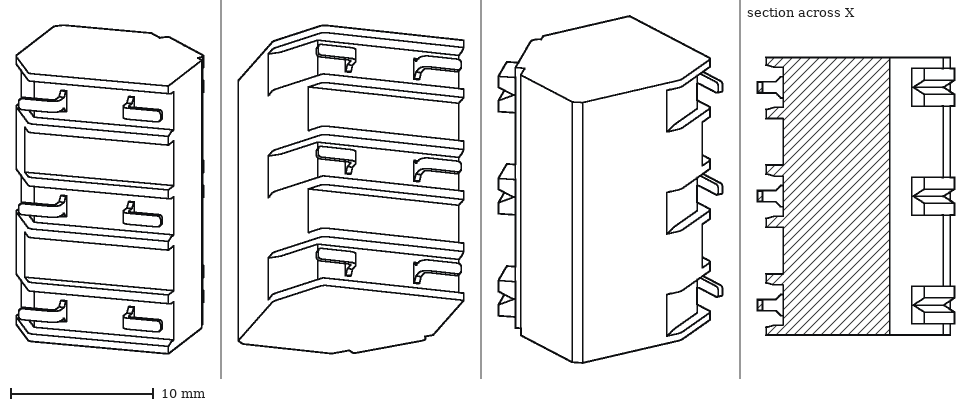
import cadquery as cq
import math

BODY_WIDTH = 12.7
BODY_DEPTH = 12.92
BODY_HEIGHT = 19.44
POLES = 3
PITCH = 7.62
END_TO_POLE = (BODY_HEIGHT - (POLES - 1) * PITCH) / 2
OVERLAP = 0.5

SLANT_ANGLE = math.radians(60)
SLANT_TOP_Y = 4.12
SLANT_END_X = SLANT_TOP_Y / math.tan(SLANT_ANGLE)
SLANT_TOP_RADIUS = 1.0
SLANT_END_RADIUS = 0.5

BACK_CHAMFER = 0.52
ENTRY_SUM = 20.88
NOTCH_X = 8.0
NOTCH_Y = 11.94
NOTCH_RISE = (ENTRY_SUM - NOTCH_X - NOTCH_Y) / 2
BACK_END_X = NOTCH_X - (BODY_DEPTH - NOTCH_Y)
LIP_START_X = 12.28
LIP_CREST = (12.42, 8.22)
LIP_END = (12.22, 7.75)
SIDE_TOP_Y = LIP_END[1] - (BODY_WIDTH - LIP_END[0])

LEAD_POCKET_HEIGHT = 2.78
FLARE_HEIGHT = 0.16
FLARE_DEPTH = 0.59
FRONT_FLOOR_Y = 1.2
SLANT_FLOOR_DEPTH = 0.59

GAP_POCKET_HEIGHT = 3.25

BUTTON_START_X = 8.54
BUTTON_LENGTH = 3.0
BUTTON_RISE = 1.24
BUTTON_HEIGHT = 2.64
GROOVE_WIDTH = 1.0
GROOVE_DEPTH = 1.1

LEAD_THICKNESS = 0.38
LEAD_HEIGHT = 0.8
LEAD_ROOT_HEIGHT = 1.5
LEAD_ROOT_Y = 1.05
LEAD_FOOT_Y = -0.6
LEAD_BEND_RADIUS = 0.57
LEAD_TIP_RADIUS = 0.25
LEAD_LEG_OFFSET = 2.32
LEAD_TIP_OFFSET = 5.25
LEAD_MIDDLE_X = 7.08


def pole_heights():
    """Z of the middle of every pole."""
    return [END_TO_POLE + i * PITCH for i in range(POLES)]


def round_slant_corners(solid):
    """Round the two Z edges at the ends of the slanted corner."""
    corners = (
        (0, SLANT_TOP_Y, SLANT_TOP_RADIUS),
        (SLANT_END_X, 0, SLANT_END_RADIUS),
    )
    reach = 0.2
    for x, y, radius in corners:
        low = (x - reach, y - reach, -BODY_HEIGHT)
        high = (x + reach, y + reach, 2 * BODY_HEIGHT)
        solid = solid.edges(cq.selectors.BoxSelector(low, high)).edges("|Z").fillet(radius)
    return solid


def make_block():
    """Extruded housing without pockets."""
    block = (
        cq.Workplane("XY")
        .moveTo(0, SLANT_TOP_Y)
        .lineTo(0, BODY_DEPTH - BACK_CHAMFER)
        .lineTo(BACK_CHAMFER, BODY_DEPTH)
        .lineTo(BACK_END_X, BODY_DEPTH)
        .lineTo(NOTCH_X, NOTCH_Y)
        .lineTo(NOTCH_X + NOTCH_RISE, NOTCH_Y + NOTCH_RISE)
        .lineTo(LIP_START_X, ENTRY_SUM - LIP_START_X)
        .threePointArc(LIP_CREST, LIP_END)
        .lineTo(BODY_WIDTH, SIDE_TOP_Y)
        .lineTo(BODY_WIDTH, 0)
        .lineTo(SLANT_END_X, 0)
        .close()
        .extrude(BODY_HEIGHT)
    )
    return round_slant_corners(block)


def pocket_outline(front_y, slant_depth):
    """Outline of the space outside the front and slanted faces once both are moved inwards."""
    side_y = SLANT_TOP_Y + slant_depth / math.cos(SLANT_ANGLE)
    slope = math.tan(SLANT_ANGLE)
    far_x = BODY_WIDTH + 2 * OVERLAP
    return [
        (-OVERLAP, side_y + OVERLAP * slope),
        ((side_y - front_y) / slope, front_y),
        (far_x, front_y),
        (far_x, -OVERLAP),
        (-OVERLAP, -OVERLAP),
    ]


def make_flare_land():
    """Sloped land on one side of a lead pocket, rising inwards from Z = 0."""
    taper = math.degrees(math.atan2(FLARE_DEPTH, FLARE_HEIGHT))
    far_x = BODY_WIDTH + 3 * OVERLAP
    tangent = SLANT_TOP_RADIUS * math.tan((math.pi / 2 - SLANT_ANGLE) / 2)
    arc_end = (tangent * math.cos(SLANT_ANGLE), SLANT_TOP_Y - tangent * math.sin(SLANT_ANGLE))
    return (
        cq.Workplane("XY")
        .moveTo(0, BODY_DEPTH)
        .lineTo(0, SLANT_TOP_Y + tangent)
        .radiusArc(arc_end, -SLANT_TOP_RADIUS)
        .lineTo(SLANT_END_X, 0)
        .lineTo(far_x, 0)
        .lineTo(far_x, BODY_DEPTH)
        .close()
        .extrude(FLARE_HEIGHT, taper=taper)
    )


def make_lead_pocket():
    """Cutter for a lead pocket, centred on Z = 0."""
    height = LEAD_POCKET_HEIGHT + 2 * FLARE_HEIGHT
    pocket = (
        cq.Workplane("XY")
        .workplane(offset=-height / 2)
        .polyline(pocket_outline(FRONT_FLOOR_Y, SLANT_FLOOR_DEPTH))
        .close()
        .extrude(height)
    )
    land = make_flare_land().translate((0, 0, -height / 2))
    return pocket.cut(land).cut(land.mirror("XY"))


def make_gap_pocket():
    """Cutter for a plain pocket between two poles, centred on Z = 0."""
    return cq.Workplane("XY").box(
        BODY_WIDTH + 2 * OVERLAP,
        FRONT_FLOOR_Y + OVERLAP,
        GAP_POCKET_HEIGHT,
        centered=(False, False, True),
    ).translate((-OVERLAP, -OVERLAP, 0))


def make_button():
    """Push button with a V groove along the entry face, centred on Z = 0."""
    entry = cq.Plane(
        origin=(BUTTON_START_X, ENTRY_SUM - BUTTON_START_X, 0),
        xDir=(1, 1, 0),
        normal=(1, -1, 0),
    )
    bar_length = BUTTON_RISE + OVERLAP
    bar = (
        cq.Workplane(entry)
        .center(BUTTON_RISE - bar_length / 2, 0)
        .rect(bar_length, BUTTON_HEIGHT)
        .extrude(BUTTON_LENGTH)
    )
    groove = (
        cq.Workplane(entry)
        .polyline([
            (BUTTON_RISE, GROOVE_WIDTH / 2),
            (BUTTON_RISE - GROOVE_DEPTH, 0),
            (BUTTON_RISE, -GROOVE_WIDTH / 2),
        ])
        .close()
        .extrude(BUTTON_LENGTH)
    )
    return bar.cut(groove)


def make_lead():
    """Right-hand lead with the pair's middle on X = 0, centred on Z = 0."""
    inner_x = LEAD_LEG_OFFSET
    outer_x = LEAD_LEG_OFFSET + LEAD_THICKNESS
    top_y = FRONT_FLOOR_Y + OVERLAP
    foot_back_y = LEAD_FOOT_Y + LEAD_THICKNESS
    small_radius = LEAD_BEND_RADIUS - LEAD_THICKNESS
    lead = (
        cq.Workplane("XY")
        .moveTo(inner_x, top_y)
        .lineTo(inner_x, LEAD_FOOT_Y + LEAD_BEND_RADIUS)
        .radiusArc((inner_x + LEAD_BEND_RADIUS, LEAD_FOOT_Y), -LEAD_BEND_RADIUS)
        .lineTo(LEAD_TIP_OFFSET, LEAD_FOOT_Y)
        .lineTo(LEAD_TIP_OFFSET, foot_back_y)
        .lineTo(outer_x + small_radius, foot_back_y)
        .radiusArc((outer_x, foot_back_y + small_radius), small_radius)
        .lineTo(outer_x, top_y)
        .close()
        .extrude(LEAD_HEIGHT / 2, both=True)
        .edges("|Y and >X")
        .fillet(LEAD_TIP_RADIUS)
    )
    shoulder_y = LEAD_ROOT_Y - (LEAD_ROOT_HEIGHT - LEAD_HEIGHT) / 2
    root = (
        cq.Workplane("YZ", origin=(inner_x, 0, 0))
        .polyline([
            (top_y, LEAD_ROOT_HEIGHT / 2),
            (LEAD_ROOT_Y, LEAD_ROOT_HEIGHT / 2),
            (shoulder_y, LEAD_HEIGHT / 2),
            (shoulder_y, -LEAD_HEIGHT / 2),
            (LEAD_ROOT_Y, -LEAD_ROOT_HEIGHT / 2),
            (top_y, -LEAD_ROOT_HEIGHT / 2),
        ])
        .close()
        .extrude(LEAD_THICKNESS)
    )
    return lead.union(root)


def make_part():
    """Three-pole terminal block."""
    part = make_block()
    lead_pocket = make_lead_pocket()
    gap_pocket = make_gap_pocket()
    button = make_button()
    right_lead = make_lead()
    leads = right_lead.union(right_lead.mirror("YZ")).translate((LEAD_MIDDLE_X, 0, 0))

    for z in pole_heights():
        part = part.cut(lead_pocket.translate((0, 0, z)))
    for z in pole_heights()[:-1]:
        part = part.cut(gap_pocket.translate((0, 0, z + PITCH / 2)))
    for z in pole_heights():
        part = part.union(button.translate((0, 0, z)))
        part = part.union(leads.translate((0, 0, z)))
    return part


result = make_part()